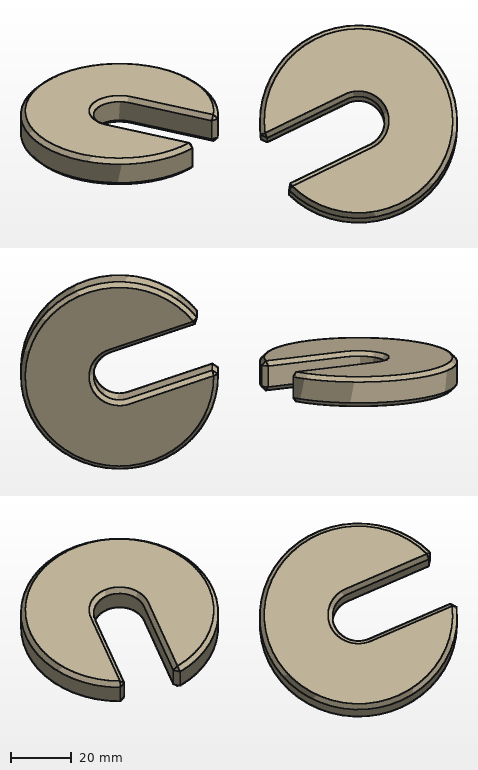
import math

import cadquery as cq

disc_diameter = 64.9
thickness = 10.0
slot_width = 17.0
edge_chamfer = 1.5
corner_setback = 2.0

disc_radius = disc_diameter / 2
slot_half = slot_width / 2


def make_slotted_disc():
    """Disc with a central round-ended slot open toward +X, chamfered on both faces."""
    disc = cq.Workplane("XY").circle(disc_radius).extrude(thickness)
    slot_end = cq.Workplane("XY").circle(slot_half).extrude(thickness)
    slot_channel = cq.Workplane("XY").box(
        disc_radius, slot_width, thickness, centered=(False, True, False)
    )
    slotted = disc.cut(slot_end).cut(slot_channel)
    return slotted.faces("<Z or >Z").edges().chamfer(edge_chamfer)


def make_corner_cutter():
    """Cutter for the +Y mouth corner: upright in the middle, leaning inward across both edge chamfers."""
    wall_point = cq.Vector(math.sqrt(disc_radius**2 - slot_half**2) - corner_setback, slot_half)
    rim_angle = math.asin(slot_half / disc_radius) + 2 * math.asin(corner_setback / disc_diameter)
    rim_point = cq.Vector(disc_radius * math.cos(rim_angle), disc_radius * math.sin(rim_angle))
    along = (rim_point - wall_point).normalized()
    outward = cq.Vector(along.y, -along.x)

    face_corner_y = slot_half + edge_chamfer
    face_corner_x = math.sqrt((disc_radius - edge_chamfer) ** 2 - face_corner_y**2)
    lean = (cq.Vector(face_corner_x, face_corner_y) - wall_point).dot(outward)

    reach = 2 * corner_setback
    section = [
        (0, edge_chamfer),
        (0, thickness - edge_chamfer),
        (lean, thickness),
        (reach, thickness),
        (reach, 0),
        (lean, 0),
    ]
    section_plane = cq.Plane(origin=wall_point, xDir=outward, normal=along * -1)
    return cq.Workplane(section_plane).polyline(section).close().extrude(reach, both=True)


corner_cutter = make_corner_cutter()
result = make_slotted_disc().cut(corner_cutter).cut(corner_cutter.mirror("XZ"))